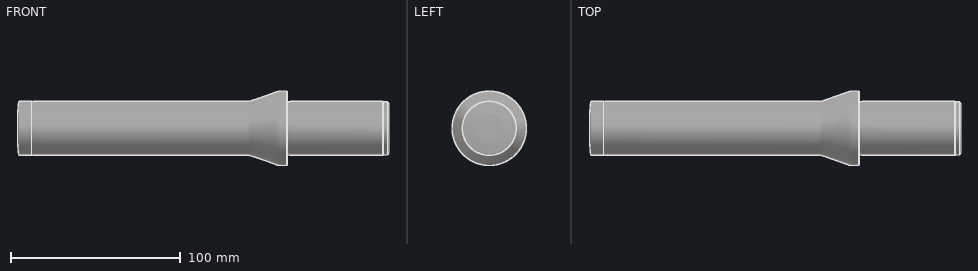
import cadquery as cq

length = 219.0
flange_radius = 44.0 / 2
rod_radius = 32.0 / 2
relief_radius = 31.5 / 2

cap_length = 8.3
cap_flat_radius = 7.9
crown_start_radius = 9.2
crown_height = 0.7
rim_fillet = 0.9
rod_lead_in = 1.3

cone_start = 136.7
flange_start = 153.7
flange_end = 159.0
flange_chamfer = 0.5
neck_length = 1.0
neck_taper = 0.9
tail_start = 215.0
tail_step = 0.7
tail_chamfer = 1.0
cone_blend = 4.2

pick_tolerance = 0.05


def revolve_about_x(outline):
    """Turn a closed (x, radius) outline about the X axis."""
    return outline.close().revolve(360, (0, 0, 0), (1, 0, 0))


def circle_at(x):
    """Select the circular edge whose centre lies on the axis at station x."""
    return cq.selectors.BoxSelector(
        (x - pick_tolerance, -pick_tolerance, -pick_tolerance),
        (x + pick_tolerance, pick_tolerance, pick_tolerance),
    )


def make_cap():
    """Disc with a flat centre blending into a shallow conical crown and a rounded rim."""
    blend_middle = (cap_flat_radius + crown_start_radius) / 2
    crown_slope = crown_height / (rod_radius - blend_middle)
    blend_depth = crown_slope * (crown_start_radius - blend_middle)
    outline = (
        cq.Workplane("XY")
        .lineTo(0, cap_flat_radius)
        .tangentArcPoint((blend_depth, crown_start_radius), relative=False)
        .lineTo(crown_height, rod_radius)
        .lineTo(cap_length, rod_radius)
        .lineTo(cap_length, 0)
    )
    cap = revolve_about_x(outline)
    return cap.edges(circle_at(crown_height)).fillet(rim_fillet)


def make_rod():
    """Rod with a conical flange, a relief neck and a stepped tail."""
    neck_end = flange_end + neck_length
    outline = (
        cq.Workplane("XY")
        .moveTo(cap_length, 0)
        .lineTo(cap_length, relief_radius)
        .lineTo(cap_length + rod_lead_in, rod_radius)
        .lineTo(cone_start, rod_radius)
        .lineTo(flange_start, flange_radius)
        .lineTo(flange_end - flange_chamfer, flange_radius)
        .lineTo(flange_end, flange_radius - flange_chamfer)
        .lineTo(flange_end, relief_radius)
        .lineTo(neck_end, relief_radius)
        .lineTo(neck_end + neck_taper, rod_radius)
        .lineTo(tail_start, rod_radius)
        .lineTo(tail_start + tail_step, relief_radius)
        .lineTo(length - tail_chamfer, relief_radius)
        .lineTo(length, relief_radius - tail_chamfer)
        .lineTo(length, 0)
    )
    rod = revolve_about_x(outline)
    for corner in (cone_start, flange_start):
        rod = rod.edges(circle_at(corner)).fillet(cone_blend)
    return rod


cap = make_cap()
rod = make_rod()
result = cq.Compound.makeCompound([cap.val(), rod.val()])